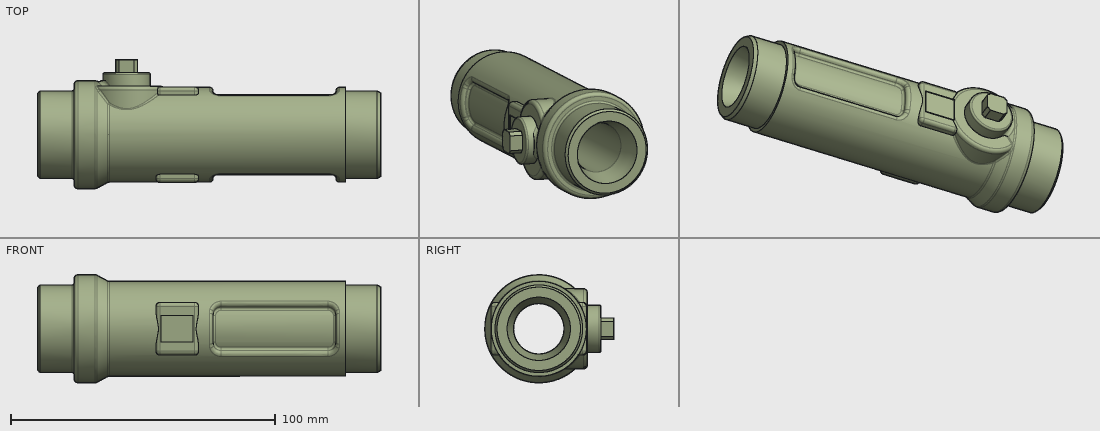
import cadquery as cq
import math

LENGTH = 130.0
PIPE_RADIUS = 16.6
BODY_RADIUS = 18.0
COLLAR_RADIUS = 20.5

COLLAR_START = 13.8
COLLAR_CONE_START = 22.1
COLLAR_CONE_END = 26.8
BODY_END = 116.6
LEFT_PIPE_CHAMFER = 0.9
RIGHT_PIPE_CHAMFER_LENGTH = 1.4
RIGHT_PIPE_CHAMFER_DEPTH = 0.8
COLLAR_ROUND = 1.5
COLLAR_CONE_ROUND = 1.5
COLLAR_ROOT_ROUND = 0.8

BORE_RADIUS = 9.5
MOUTH_RADIUS = 12.0
MOUTH_DEPTH = 11.0

STEM_X = 33.7
BOSS_RADIUS = 15.2
BOSS_TOP = 18.4
BOSS_ROUND = 1.5
BOSS_ROOT_ROUND = 0.8
GLAND_RADIUS = 9.0
GLAND_TOP = 23.5
GLAND_ROUND = 0.7
GLAND_ROOT_ROUND = 1.5
STEM_WIDTH = 8.3
STEM_CORNER_CHAMFER = 1.3
STEM_TOP = 28.4

PAD_START = 44.8
PAD_END = 61.0
PAD_HEIGHT = 20.0
PAD_FACE = 18.1
PAD_ROUND = 1.5
PAD_CORNER_ROUND = 1.6
PANEL_START = 46.8
PANEL_END = 58.8
PANEL_HEIGHT = 10.0
PANEL_DEPTH = 0.3

RECESS_START = 66.5
RECESS_END = 112.9
RECESS_HEIGHT = 16.6
RECESS_FLOOR_RADIUS = 15.3
RECESS_CORNER_RADIUS = 3.0
RECESS_RIM_ROUND = 1.5
RECESS_FLOOR_ROUND = 0.9

SIDES = (-1, 1)
TOLERANCE = 0.01
CUT_MARGIN = 1.0


def side_block(start, end, height, inner, outer, side):
    """Box from y = inner to y = outer on one side, centred on Z = 0."""
    return cq.Workplane("XY").box(end - start, outer - inner, height).translate(
        ((start + end) / 2, side * (inner + outer) / 2, 0)
    )


def cylinder_along_x(radius, start, end):
    """Cylinder on the part axis."""
    return cq.Workplane("YZ").workplane(offset=start).circle(radius).extrude(end - start)


def cylinder_along_y(radius, top):
    """Cylinder on the stem axis from the part axis up to y = top."""
    return cq.Workplane("XZ").center(STEM_X, 0).circle(radius).extrude(-top)


def make_shell():
    """Turned outside: pipe end, collar, body and second pipe end."""
    profile = (
        cq.Workplane("XZ")
        .moveTo(0, 0)
        .lineTo(0, PIPE_RADIUS - LEFT_PIPE_CHAMFER)
        .lineTo(LEFT_PIPE_CHAMFER, PIPE_RADIUS)
        .lineTo(COLLAR_START - COLLAR_ROOT_ROUND, PIPE_RADIUS)
        .radiusArc((COLLAR_START, PIPE_RADIUS + COLLAR_ROOT_ROUND), -COLLAR_ROOT_ROUND)
        .lineTo(COLLAR_START, COLLAR_RADIUS - COLLAR_ROUND)
        .radiusArc((COLLAR_START + COLLAR_ROUND, COLLAR_RADIUS), COLLAR_ROUND)
        .lineTo(COLLAR_CONE_START, COLLAR_RADIUS)
        .lineTo(COLLAR_CONE_END, BODY_RADIUS)
        .lineTo(BODY_END, BODY_RADIUS)
        .lineTo(BODY_END, PIPE_RADIUS)
        .lineTo(LENGTH - RIGHT_PIPE_CHAMFER_LENGTH, PIPE_RADIUS)
        .lineTo(LENGTH, PIPE_RADIUS - RIGHT_PIPE_CHAMFER_DEPTH)
        .lineTo(LENGTH, 0)
        .close()
    )
    shell = profile.revolve(360, (0, 0, 0), (1, 0, 0))
    cone_edges = shell.edges().filter(
        lambda edge: edge.geomType() == "CIRCLE"
        and min(abs(edge.Center().x - COLLAR_CONE_START), abs(edge.Center().x - COLLAR_CONE_END)) < TOLERANCE
    )
    return cone_edges.fillet(COLLAR_CONE_ROUND)


def make_boss():
    return cylinder_along_y(BOSS_RADIUS, BOSS_TOP).faces(">Y").edges().fillet(BOSS_ROUND)


def make_gland():
    return cylinder_along_y(GLAND_RADIUS, GLAND_TOP).faces(">Y").edges().fillet(GLAND_ROUND)


def make_stem():
    """Square stem with chamfered corners."""
    return (
        cq.Workplane("XZ")
        .center(STEM_X, 0)
        .rect(STEM_WIDTH, STEM_WIDTH)
        .extrude(-STEM_TOP)
        .edges("|Y")
        .chamfer(STEM_CORNER_CHAMFER)
    )


def make_pad(side):
    """Flat pad with rounded corners and a rounded outer rim."""
    pad = side_block(PAD_START, PAD_END, PAD_HEIGHT, BORE_RADIUS, PAD_FACE, side)
    outer_face = ">Y" if side > 0 else "<Y"
    return pad.edges("|Y").fillet(PAD_CORNER_ROUND).faces(outer_face).edges().fillet(PAD_ROUND)


def make_panel(side):
    """Shallow rectangular sinking in the pad face."""
    floor = PAD_FACE - PANEL_DEPTH
    return side_block(PANEL_START, PANEL_END, PANEL_HEIGHT, floor, PAD_FACE + CUT_MARGIN, side)


def make_recess(side):
    """Rounded window cut down to a floor concentric with the body."""
    window = side_block(RECESS_START, RECESS_END, RECESS_HEIGHT, BORE_RADIUS, COLLAR_RADIUS, side)
    window = window.edges("|Y").fillet(RECESS_CORNER_RADIUS)
    floor = cylinder_along_x(RECESS_FLOOR_RADIUS, RECESS_START - CUT_MARGIN, RECESS_END + CUT_MARGIN)
    return window.cut(floor.rotate((0, 0, 0), (1, 0, 0), 90))


def round_recess_edges(body, radius, fillet_radius):
    """Fillet the recess edges that lie at the given distance from the part axis."""

    def is_recess_edge(edge):
        middle = edge.positionAt(0.5)
        in_window = RECESS_START - TOLERANCE < middle.x < RECESS_END + TOLERANCE
        in_height = abs(middle.z) < RECESS_HEIGHT / 2 + TOLERANCE
        at_radius = abs(math.hypot(middle.y, middle.z) - radius) < TOLERANCE
        return in_window and in_height and at_radius

    return body.edges().filter(is_recess_edge).fillet(fillet_radius)


def round_stem_root(body, radius, below, fillet_radius):
    """Fillet the curved edges where a stem-axis cylinder meets the turned body."""

    def is_root_edge(edge):
        ends_and_middle = [edge.positionAt(t) for t in (0, 0.5, 1)]
        return edge.geomType() == "BSPLINE" and all(
            abs(math.hypot(point.x - STEM_X, point.z) - radius) < TOLERANCE and 0 < point.y < below
            for point in ends_and_middle
        )

    return body.edges().filter(is_root_edge).fillet(fillet_radius)


def make_gland_web(shell):
    """Fillet that joins the gland to the collar cone, on the collar side of the stem only."""
    rounded = round_stem_root(shell.union(make_gland()), GLAND_RADIUS, GLAND_TOP, GLAND_ROOT_ROUND)
    width = STEM_X - COLLAR_START
    collar_side = side_block(COLLAR_START, STEM_X, width, BORE_RADIUS, COLLAR_RADIUS, 1)
    return rounded.intersect(collar_side)


def make_bore():
    """Through bore with a conical mouth at each end."""
    return (
        cq.Workplane("XZ")
        .moveTo(0, 0)
        .lineTo(0, MOUTH_RADIUS)
        .lineTo(MOUTH_DEPTH, BORE_RADIUS)
        .lineTo(LENGTH - MOUTH_DEPTH, BORE_RADIUS)
        .lineTo(LENGTH, MOUTH_RADIUS)
        .lineTo(LENGTH, 0)
        .close()
        .revolve(360, (0, 0, 0), (1, 0, 0))
    )


shell = make_shell()
result = shell
for side in SIDES:
    result = result.cut(make_recess(side))
result = round_recess_edges(result, RECESS_FLOOR_RADIUS, RECESS_FLOOR_ROUND)
result = round_recess_edges(result, BODY_RADIUS, RECESS_RIM_ROUND)
result = result.union(make_boss())
result = round_stem_root(result, BOSS_RADIUS, BOSS_TOP - BOSS_ROUND, BOSS_ROOT_ROUND)
result = result.union(make_gland_web(shell)).union(make_gland())
for side in SIDES:
    result = result.union(make_pad(side)).cut(make_panel(side))
result = result.union(make_stem()).cut(make_bore())